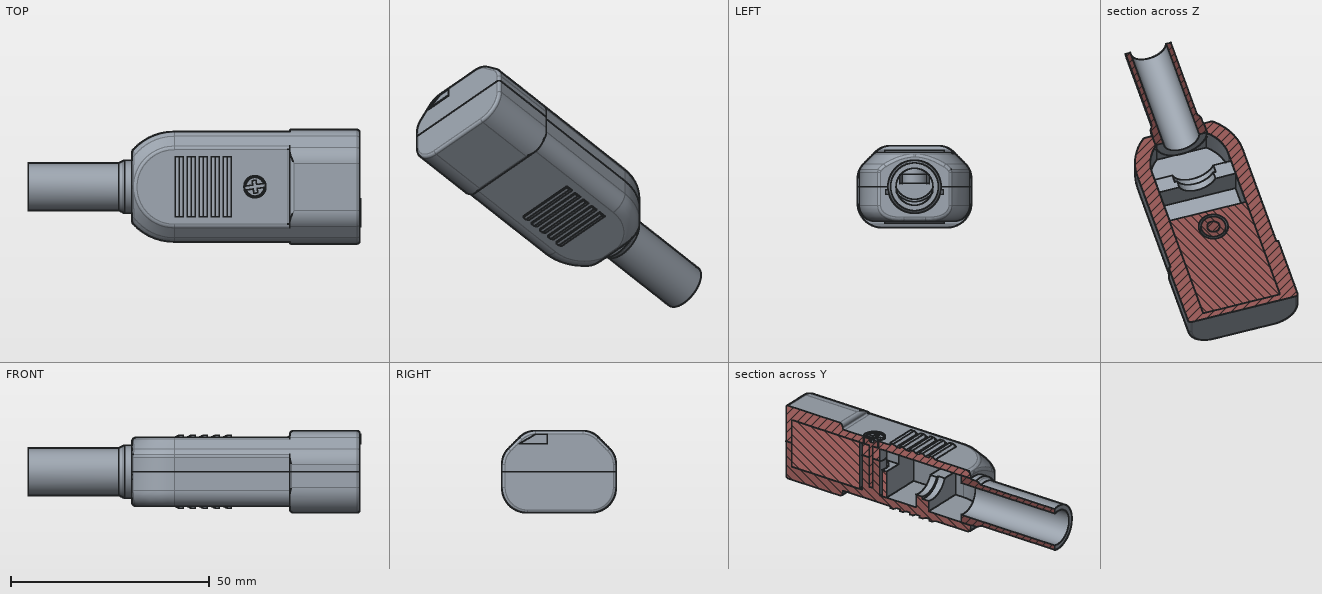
import cadquery as cq
import math


handle_half_width = 13.9
handle_half_height = 8.7
handle_arc_x = 10.6
handle_bottom_radius = 4.0
handle_top_radius = 1.3
shoulder_low_z = 3.6
shoulder_high_z = 4.4
rear_edge_radius = 1.1

shroud_start_x = 39.7
shroud_end_x = 57.35
shroud_half_width = 14.4
shroud_half_height = 10.35
slope_reach = 18.6
slope_radius = 5.6
shroud_bottom_radius = 6.4
shroud_end_radius = 0.8
shroud_rear_radius = 1.0
shroud_side_edge_radius = 0.4
shroud_foot_radius = 0.5
shroud_foot_half_length = 9.4

rib_count = 5
rib_pitch = 3.02
rib_start_x = 10.95
rib_width = 2.0
rib_ramp = 1.0
rib_height = 0.5
rib_half_length = 7.5

mark_height = 0.2
mark_inner_y = -3.0
mark_bend_y = -6.0
mark_outer_y = -10.0
mark_low_z = 7.0
mark_high_z = 9.4

cavity_half_width = 10.0
cavity_half_height = 6.5
cavity_start_x = 3.0
cavity_end_x = 55.5

rest_thickness = 2.0
rest_axis_z = 2.0
rests = [(13.0, 5.75), (15.0, 5.15)]

sleeve_radius = 6.0
sleeve_bore_radius = 4.65
sleeve_rear_x = -26.05
collar_radius = 6.7
collar_cone_radius = 6.5
collar_cone_start_x = -3.25
collar_round_start_x = -2.25
collar_round_end_x = -1.75
key_reach = 7.2
key_low_z = -1.9
key_high_z = -0.75

screw_x = 30.95
head_radius = 2.65
head_bottom_z = 6.7
head_top_z = 8.5
head_chamfer = 0.3
head_clearance_radius = 2.77
shank_radius = 1.5
shank_end_z = -5.0
slot_width = 1.0
slot_depth = 0.8
slot_angle = 8.0
cross_half_length = 1.6
boss_radius = 3.14
boss_joint_z = 3.1

insert_start_x = 26.0
notch_half_width = 3.65
notch_floor_z = 0.85

far = 100.0
everywhere = (-far, far)

half_diagonal = math.sqrt(0.5)


def box(x_range, y_range, z_range):
    """Box between the given limits."""
    size = [high - low for low, high in (x_range, y_range, z_range)]
    corner = (x_range[0], y_range[0], z_range[0])
    return cq.Workplane("XY").box(*size, centered=False).translate(corner)


def upright_cylinder(radius, z_low, z_high):
    """Cylinder along Z on the screw axis."""
    disc = cq.Workplane("XY", origin=(screw_x, 0, z_low)).circle(radius)
    return disc.extrude(z_high - z_low)



side_round_y = shroud_half_width - slope_radius
side_round_end_y = side_round_y + slope_radius * half_diagonal
side_round_end_z = slope_reach - side_round_end_y
side_round_z = side_round_end_z - slope_radius * half_diagonal


def side_round_point(z):
    """Point at height z on the round between slope and shroud side."""
    return side_round_y + math.sqrt(slope_radius**2 - (z - side_round_z) ** 2), z


def handle_half_section(workplane):
    """Half section of the handle, from the middle plane out to the side."""
    bottom_round_y = handle_half_width - handle_bottom_radius
    bottom_round_z = handle_bottom_radius - handle_half_height
    bottom_round_middle = (
        bottom_round_y + handle_bottom_radius * half_diagonal,
        bottom_round_z - handle_bottom_radius * half_diagonal,
    )
    side_round_middle = side_round_point((shoulder_high_z + side_round_end_z) / 2)
    top_corner_y = slope_reach - handle_half_height
    top_tangent = handle_top_radius * (math.sqrt(2) - 1)
    top_flat_y = top_corner_y - top_tangent
    slope_top_y = top_corner_y + top_tangent * half_diagonal
    return (
        workplane.moveTo(0, -handle_half_height)
        .lineTo(bottom_round_y, -handle_half_height)
        .threePointArc(bottom_round_middle, (handle_half_width, bottom_round_z))
        .lineTo(handle_half_width, shoulder_low_z)
        .tangentArcPoint(side_round_point(shoulder_high_z), relative=False)
        .threePointArc(side_round_middle, (side_round_end_y, side_round_end_z))
        .lineTo(slope_top_y, slope_reach - slope_top_y)
        .tangentArcPoint((top_flat_y, handle_half_height), relative=False)
        .lineTo(0, handle_half_height)
        .close()
    )


def handle():
    """Straight handle with a round rear end, cut flat at X = 0."""
    straight_length = shroud_start_x - handle_arc_x
    right_plane = cq.Workplane("YZ", origin=(handle_arc_x, 0, 0))
    half = handle_half_section(right_plane).extrude(straight_length)
    straight = half.union(half.mirror("XZ"))
    rear = handle_half_section(right_plane).revolve(180, (0, 0, 0), (0, 1, 0))
    behind = box((-far, 0), everywhere, everywhere)
    body = straight.union(rear).cut(behind)
    return body.faces("<X").edges().fillet(rear_edge_radius)


def shroud():
    """Wider front part with sloped upper sides and rounded ends."""
    slope_top_y = slope_reach - shroud_half_height
    slope_low_z = slope_reach - shroud_half_width
    block = (
        cq.Workplane("YZ", origin=(shroud_start_x, 0, 0))
        .polyline([
            (-shroud_half_width, -shroud_half_height),
            (shroud_half_width, -shroud_half_height),
            (shroud_half_width, slope_low_z),
            (slope_top_y, shroud_half_height),
            (-slope_top_y, shroud_half_height),
            (-shroud_half_width, slope_low_z),
        ])
        .close()
        .extrude(shroud_end_x - shroud_start_x)
    )
    block = block.edges("|X and <Z").fillet(shroud_bottom_radius)
    upper_edges = cq.selectors.BoxSelector((0, -far, 0), (far, far, far))
    block = block.edges("|X").edges(upper_edges).fillet(slope_radius)
    block = block.faces(">X").edges().fillet(shroud_end_radius)

    envelope = box(
        (shroud_start_x, shroud_end_x),
        (-shroud_half_width, shroud_half_width),
        (-shroud_half_height, shroud_half_height),
    )
    rear_edges = envelope.faces("<X")
    flat_rounding = rear_edges.edges("|Y").fillet(shroud_rear_radius)
    side_rounding = rear_edges.edges("|Z").fillet(shroud_side_edge_radius)
    return block.intersect(flat_rounding).intersect(side_rounding)


def shroud_foot():
    """Concave fillet between the handle top and the shroud."""
    axis_x = shroud_start_x - shroud_foot_radius
    axis_z = handle_half_height + shroud_foot_radius
    strip = box(
        (axis_x, shroud_start_x),
        (-shroud_foot_half_length, shroud_foot_half_length),
        (handle_half_height, axis_z),
    )
    hollow = (
        cq.Workplane("XZ", origin=(axis_x, shroud_foot_half_length, axis_z))
        .circle(shroud_foot_radius)
        .extrude(2 * shroud_foot_half_length)
    )
    return strip.cut(hollow)


def grip_rib(start_x, side):
    """Rib with a ramp at the rear; side is 1 for the top and -1 for the bottom."""
    root_z = side * handle_half_height
    crest_z = side * (handle_half_height + rib_height)
    return (
        cq.Workplane("XZ", origin=(0, rib_half_length, 0))
        .polyline([
            (start_x, root_z),
            (start_x + rib_ramp, crest_z),
            (start_x + rib_width, crest_z),
            (start_x + rib_width, root_z),
        ])
        .close()
        .extrude(2 * rib_half_length)
    )


def rim_mark():
    """Thin raised mark on the front face."""
    return (
        cq.Workplane("YZ", origin=(shroud_end_x, 0, 0))
        .polyline([
            (mark_inner_y, mark_low_z),
            (mark_inner_y, mark_high_z),
            (mark_bend_y, mark_high_z),
            (mark_outer_y, mark_low_z),
        ])
        .close()
        .extrude(mark_height)
    )


outer_form = handle().union(shroud()).union(shroud_foot()).union(rim_mark())
for rib_number in range(rib_count):
    rib_x = rib_start_x + rib_number * rib_pitch
    outer_form = outer_form.union(grip_rib(rib_x, 1)).union(grip_rib(rib_x, -1))



def cable_sleeve():
    """Tube with a collar, held in the rear wall by two keys."""
    tube = (
        cq.Workplane("XZ")
        .moveTo(sleeve_rear_x, sleeve_bore_radius)
        .lineTo(sleeve_rear_x, sleeve_radius)
        .lineTo(collar_cone_start_x, sleeve_radius)
        .lineTo(collar_round_start_x, collar_cone_radius)
        .tangentArcPoint((collar_round_end_x, collar_radius), relative=False)
        .lineTo(cavity_start_x, collar_radius)
        .lineTo(cavity_start_x, sleeve_bore_radius)
        .close()
        .revolve(360, (0, 0, 0), (1, 0, 0))
    )
    return tube.union(sleeve_keys.cut(sleeve_opening))


sleeve_opening = cq.Workplane("YZ").circle(collar_radius).extrude(cavity_start_x)
sleeve_keys = box((0, cavity_start_x), (-key_reach, key_reach), (key_low_z, key_high_z))
sleeve = cable_sleeve()



def cavity():
    """Space inside the closed shells, round at the rear."""
    height = 2 * cavity_half_height
    round_end = (
        cq.Workplane("XY", origin=(handle_arc_x, 0, -cavity_half_height))
        .circle(cavity_half_width)
        .extrude(height)
    )
    y_range = (-cavity_half_width, cavity_half_width)
    z_range = (-cavity_half_height, cavity_half_height)
    straight = box((handle_arc_x, cavity_end_x), y_range, z_range)
    rear_wall = box((0, cavity_start_x), y_range, z_range)
    return round_end.union(straight).cut(rear_wall)


def cable_rest(start_x, radius):
    """Wall across the lower shell with a round cradle for the cable."""
    wall = box(
        (start_x, start_x + rest_thickness),
        (-cavity_half_width, cavity_half_width),
        (-cavity_half_height, 0),
    )
    cradle = (
        cq.Workplane("YZ", origin=(start_x, 0, rest_axis_z))
        .circle(radius)
        .extrude(rest_thickness)
    )
    return wall.cut(cradle)


inner_space = cavity()
hollow_form = outer_form.cut(inner_space).cut(sleeve_opening).cut(sleeve_keys)
above_parting = box(everywhere, everywhere, (0, far))
shank_hole = upright_cylinder(shank_radius, shank_end_z, head_bottom_z)
head_hole = upright_cylinder(head_clearance_radius, head_bottom_z, handle_half_height)

upper_boss = upright_cylinder(boss_radius, boss_joint_z, cavity_half_height)
upper_shell = hollow_form.intersect(above_parting).union(upper_boss)
upper_shell = upper_shell.cut(shank_hole).cut(head_hole)

lower_boss = upright_cylinder(boss_radius, -cavity_half_height, boss_joint_z)
lower_shell = hollow_form.cut(above_parting).union(lower_boss)
for rest_x, rest_radius in rests:
    lower_shell = lower_shell.union(cable_rest(rest_x, rest_radius))
lower_shell = lower_shell.cut(shank_hole)



def contact_insert():
    """Block filling the front of the cavity, cleared around the screw bosses."""
    behind = box((-far, insert_start_x), everywhere, everywhere)
    boss_clearance = upright_cylinder(notch_half_width, -cavity_half_height, cavity_half_height)
    notch = box(
        (insert_start_x, screw_x),
        (-notch_half_width, notch_half_width),
        (notch_floor_z, cavity_half_height),
    )
    return inner_space.cut(behind).cut(boss_clearance).cut(notch)


insert = contact_insert()



def clamp_screw():
    """Screw whose head takes either a flat or a cross driver."""
    head = upright_cylinder(head_radius, head_bottom_z, head_top_z)
    head = head.faces(">Z").edges().chamfer(head_chamfer)
    slot_z = (head_top_z - slot_depth, head_top_z)
    half_slot = slot_width / 2
    slot = box((-head_radius, head_radius), (-half_slot, half_slot), slot_z)
    cross = box((-half_slot, half_slot), (-cross_half_length, cross_half_length), slot_z)
    drive = slot.union(cross).rotate((0, 0, 0), (0, 0, 1), slot_angle)
    return head.union(shank_hole).cut(drive.translate((screw_x, 0, 0)))


screw = clamp_screw()

result = cq.Compound.makeCompound([
    upper_shell.val(),
    lower_shell.val(),
    sleeve.val(),
    insert.val(),
    screw.val(),
])